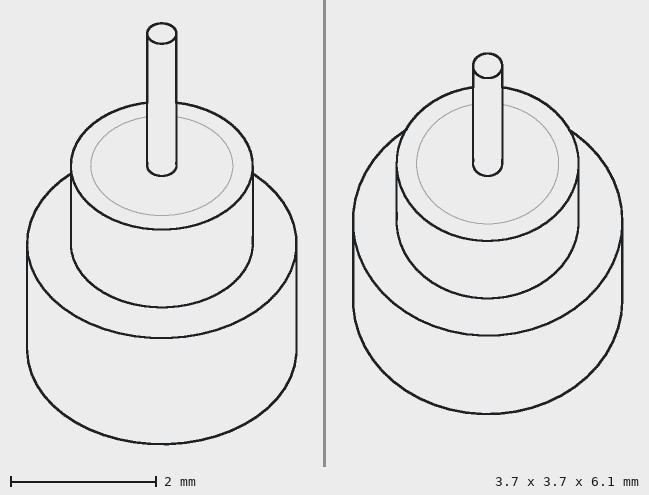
import cadquery as cq

total_height = 6.1
base_diameter = 3.7
base_height = 2.05
collar_diameter = 2.5
collar_height = 1.5
insert_diameter = 1.95
pin_diameter = 0.4

collar_top = base_height + collar_height
pin_length = total_height - collar_top


def cylinder(diameter, height, bottom):
    """Upright cylinder on the Z axis, starting at the given height."""
    return cq.Workplane("XY").workplane(offset=bottom).circle(diameter / 2).extrude(height)


base = cylinder(base_diameter, base_height, 0)

insert = cylinder(insert_diameter, collar_height, base_height)
sleeve = cylinder(collar_diameter, collar_height, base_height).cut(insert)

pin = cylinder(pin_diameter, pin_length, collar_top)

result = base.union(sleeve, clean=False).union(insert, clean=False).union(pin, clean=False)